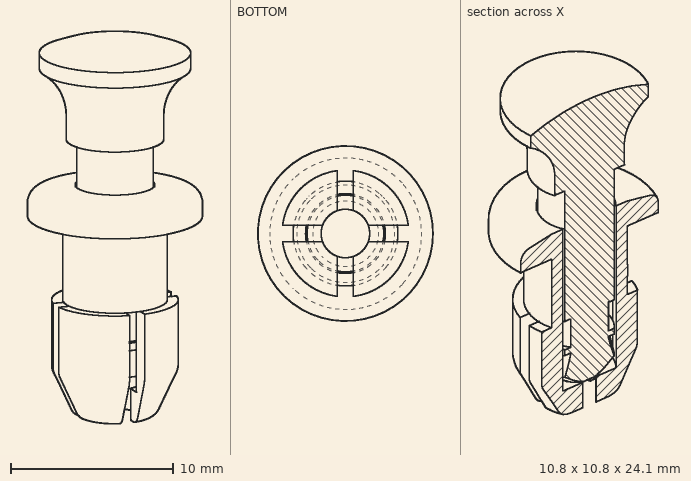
import cadquery as cq
import math


bore_radius = 2.45
barrel_radius = 3.23
flange_radius = 5.4
flange_bottom_z = 12.7
flange_rim_top_z = 13.57
flange_shoulder_radius = 4.77
flange_shoulder_z = 14.36
flange_top_radius = 3.18
flange_top_z = 14.7
foot_radius = 3.9
foot_top_z = 7.37
foot_taper_top_z = 3.04
foot_tip_radius = 2.5
foot_taper_round = 0.67
foot_tip_round = 0.87
slot_width = 1.0

stem_radius = 2.35
groove_radius = 2.02
ring_top_z = 5.18
ring_bottom_z = 4.7
stem_taper_end_z = 3.01
stem_tip_z = 2.02
stem_tip_radius = 1.5

collar_radius = 3.01
collar_bottom_z = 17.6
collar_top_z = 19.14
head_radius = 4.68
rim_bottom_z = 22.12
rim_top_z = 23.1
crown_z = 24.1


def revolve_about_z(profile):
    """Turn a closed XZ half profile about the Z axis."""
    return profile.close().revolve(360, (0, 0, 0), (0, 1, 0))


def make_foot():
    """Solid foot with a conical lead-in and rounded corners."""
    foot = revolve_about_z(
        cq.Workplane("XZ")
        .lineTo(foot_tip_radius, 0)
        .lineTo(foot_radius, foot_taper_top_z)
        .lineTo(foot_radius, foot_top_z)
        .lineTo(0, foot_top_z)
    )
    foot = foot.faces("<Z").edges().fillet(foot_tip_round)
    return foot.edges(cq.selectors.RadiusNthSelector(-1)).edges("<Z").fillet(foot_taper_round)


def make_grommet():
    """Barrel and flange on the foot, slotted crosswise, with a bore that narrows below the plunger."""
    inset = flange_radius - flange_shoulder_radius
    rise = flange_shoulder_z - flange_rim_top_z
    edge_radius = (inset**2 + rise**2) / (2 * inset)
    half_angle = math.asin(rise / edge_radius) / 2
    edge_mid = (
        flange_radius - edge_radius * (1 - math.cos(half_angle)),
        flange_rim_top_z + edge_radius * math.sin(half_angle),
    )
    upper = revolve_about_z(
        cq.Workplane("XZ")
        .moveTo(0, foot_top_z)
        .lineTo(barrel_radius, foot_top_z)
        .lineTo(barrel_radius, flange_bottom_z)
        .lineTo(flange_radius, flange_bottom_z)
        .lineTo(flange_radius, flange_rim_top_z)
        .threePointArc(edge_mid, (flange_shoulder_radius, flange_shoulder_z))
        .lineTo(flange_top_radius, flange_top_z)
        .lineTo(0, flange_top_z)
    )
    body = make_foot().union(upper)
    bore = cq.Workplane("XY").workplane(offset=stem_tip_z).circle(bore_radius).extrude(flange_top_z)
    tip_hole = cq.Workplane("XY").circle(stem_tip_radius).extrude(stem_tip_z)
    body = body.cut(bore).cut(tip_hole)
    slot = cq.Workplane("XY").rect(2 * flange_radius, slot_width).extrude(foot_top_z)
    for angle in (0, 90):
        body = body.cut(slot.rotate((0, 0, 0), (0, 0, 1), angle))
    return body


def make_plunger():
    """Domed, flared head on a stem with a groove, a ring and a tapered tip."""
    flare_out = head_radius - collar_radius
    flare_rise = rim_bottom_z - collar_top_z
    flare_radius = (flare_out**2 + flare_rise**2) / (2 * flare_out)
    half_angle = math.asin(flare_rise / flare_radius) / 2
    flare_mid = (
        collar_radius + flare_radius * (1 - math.cos(half_angle)),
        collar_top_z + flare_radius * math.sin(half_angle),
    )

    dome_height = crown_z - rim_top_z
    dome_radius = (head_radius**2 + dome_height**2) / (2 * dome_height)
    dome_mid_x = head_radius / 2
    dome_mid_z = crown_z - dome_radius + math.sqrt(dome_radius**2 - dome_mid_x**2)

    return revolve_about_z(
        cq.Workplane("XZ")
        .moveTo(0, stem_tip_z)
        .lineTo(stem_tip_radius, stem_tip_z)
        .lineTo(stem_radius, stem_taper_end_z)
        .lineTo(groove_radius, ring_bottom_z)
        .lineTo(stem_radius, ring_bottom_z)
        .lineTo(stem_radius, ring_top_z)
        .lineTo(groove_radius, ring_top_z)
        .lineTo(groove_radius, foot_top_z)
        .lineTo(stem_radius, foot_top_z)
        .lineTo(stem_radius, collar_bottom_z)
        .lineTo(collar_radius, collar_bottom_z)
        .lineTo(collar_radius, collar_top_z)
        .threePointArc(flare_mid, (head_radius, rim_bottom_z))
        .lineTo(head_radius, rim_top_z)
        .threePointArc((dome_mid_x, dome_mid_z), (0, crown_z))
    )


grommet = make_grommet()
plunger = make_plunger()

result = cq.Compound.makeCompound([grommet.val(), plunger.val()])